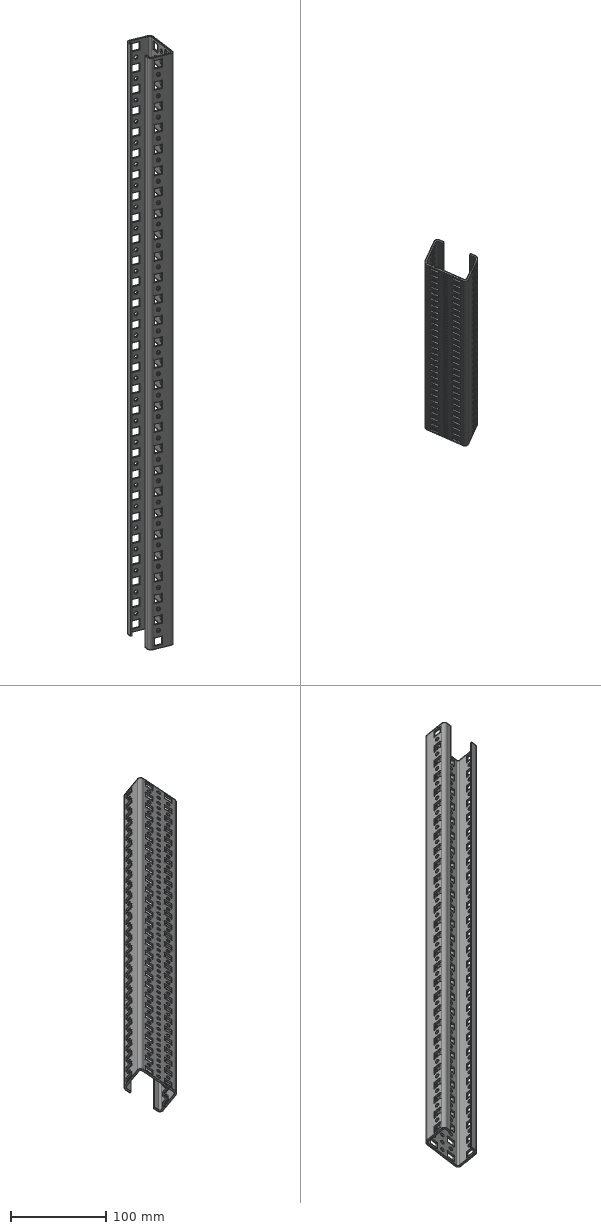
import cadquery as cq


length = 691.0
square_size = 10.0
round_diameter = 4.5
square_count = 28
end_margin = 8.0
pitch = (length - 2 * end_margin) / (square_count - 1)
column_offset = pitch / 2

width = 2 * pitch
depth = 30.5
sheet = 2.0
bend_radius = 4.0
lip_width = 10.0
flange_hole_setback = 11.0

front_y = -depth / 2
web_outer_y = depth / 2
web_centre_y = web_outer_y - sheet / 2
flange_centre_x = (width - sheet) / 2
flange_hole_y = front_y + flange_hole_setback
punch_depth = 3 * sheet

square_levels = [end_margin + i * pitch for i in range(square_count)]
between_levels = [z + pitch / 2 for z in square_levels[:-1]]


def make_channel():
    """Rounded tube with the slot between the two lips cut out of its front wall."""
    outer = cq.Workplane("XY").rect(width, depth).extrude(length).edges("|Z").fillet(bend_radius)
    inner = (
        cq.Workplane("XY")
        .rect(width - 2 * sheet, depth - 2 * sheet)
        .extrude(length)
        .edges("|Z")
        .fillet(bend_radius - sheet)
    )
    slot_width = width - 2 * lip_width
    slot = (
        cq.Workplane("XY")
        .center(0, front_y)
        .rect(slot_width, 2 * bend_radius)
        .extrude(length)
    )
    return outer.cut(inner).cut(slot)


def square_punches(plane, points):
    return plane.pushPoints(points).rect(square_size, square_size).extrude(punch_depth / 2, both=True)


def round_punches(plane, points):
    return plane.pushPoints(points).circle(round_diameter / 2).extrude(punch_depth / 2, both=True)


def punch_web(body):
    """Two outer columns alternate square and round holes; the middle column is all round."""
    plane = cq.Workplane("XZ", origin=(0, web_centre_y, 0))
    columns = (-column_offset, column_offset)
    squares = [(x, z) for x in columns for z in square_levels]
    rounds = [(x, z) for x in columns for z in between_levels]
    rounds += [(0, z) for z in square_levels + between_levels]
    return body.cut(square_punches(plane, squares)).cut(round_punches(plane, rounds))


def punch_flange(body, x):
    """One column of alternating square and round holes through the flange at x."""
    plane = cq.Workplane("YZ", origin=(x, 0, 0))
    squares = [(flange_hole_y, z) for z in square_levels]
    rounds = [(flange_hole_y, z) for z in between_levels]
    return body.cut(square_punches(plane, squares)).cut(round_punches(plane, rounds))


result = punch_web(make_channel())
for side in (-1, 1):
    result = punch_flange(result, side * flange_centre_x)